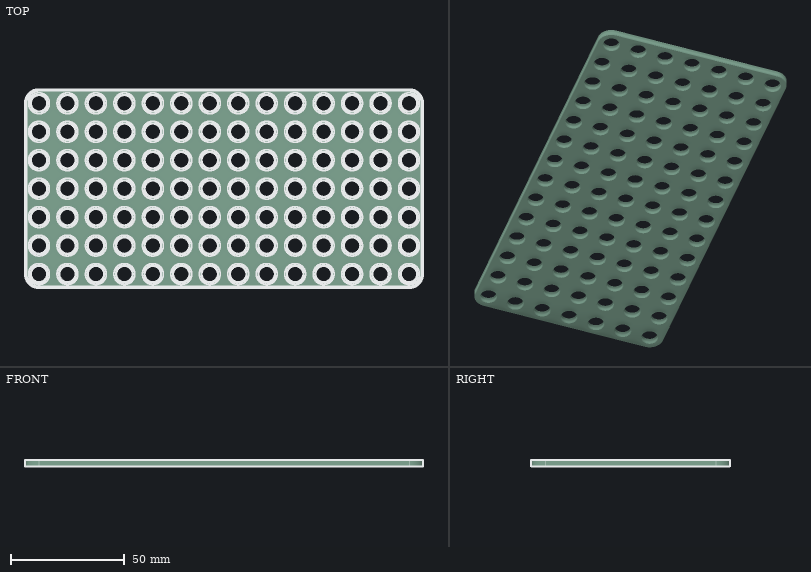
import cadquery as cq

columns = 14
rows = 7
hole_diameter = 7.0

length = 175.0
pitch = length / columns
width = rows * pitch
thickness = 3.2
corner_radius = pitch / 2

edge_chamfer = 0.3

recess_depth = 0.2
border_rim_width = 0.8
hole_rim_width = 0.8
hole_rim_diameter = hole_diameter + 2 * (edge_chamfer + hole_rim_width)


def rounded_slab(inset, bottom, height):
    """Slab following the plate outline, moved inwards by the inset."""
    return (
        cq.Workplane("XY", origin=(0, 0, bottom))
        .box(length - 2 * inset, width - 2 * inset, height, centered=(True, True, False))
        .edges("|Z")
        .fillet(corner_radius - inset)
    )


def make_plate():
    """Plate resting on Z = 0 with its upper and lower outer edges chamfered."""
    return rounded_slab(0, 0, thickness).faces("<Z or >Z").edges().chamfer(edge_chamfer)


def make_recess():
    """Material removed from the upper face: the inset outline minus the hole rims."""
    recess_floor = thickness - recess_depth
    hole_rims = (
        cq.Workplane("XY", origin=(0, 0, recess_floor))
        .rarray(pitch, pitch, columns, rows)
        .circle(hole_rim_diameter / 2)
        .extrude(recess_depth)
    )
    return rounded_slab(border_rim_width, recess_floor, recess_depth).cut(hole_rims)


def make_hole_cutters():
    """One revolved cutter per grid cell: a through hole chamfered at both ends."""
    hole_radius = hole_diameter / 2
    mouth_radius = hole_radius + edge_chamfer
    cutter = (
        cq.Workplane("XZ")
        .lineTo(mouth_radius, 0)
        .lineTo(hole_radius, edge_chamfer)
        .lineTo(hole_radius, thickness - edge_chamfer)
        .lineTo(mouth_radius, thickness)
        .lineTo(0, thickness)
        .close()
        .revolve(360, (0, 0), (0, 1))
        .val()
    )
    return (
        cq.Workplane("XY")
        .rarray(pitch, pitch, columns, rows)
        .eachpoint(lambda location: cutter.moved(location))
    )


result = make_plate().cut(make_recess()).cut(make_hole_cutters())